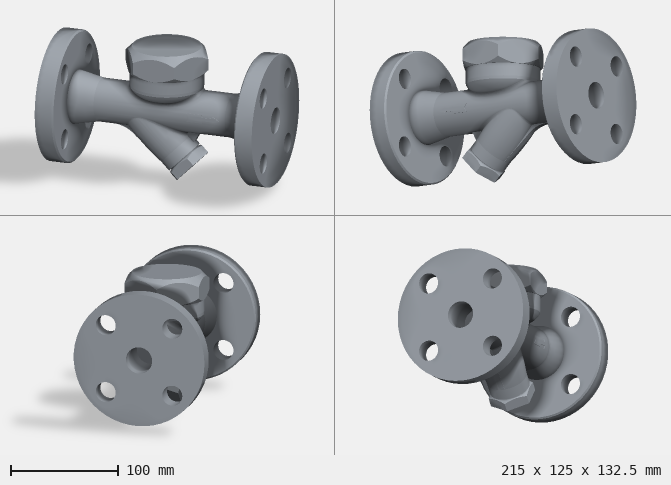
import cadquery as cq
import math

length = 215.0
flange_dia = 125.0
flange_thickness = 18.0
flange_edge = 1.5
bolt_circle_dia = 90.0
bolt_hole_dia = 19.0
bolt_count = 4
pipe_dia = 41.0
hub_dia = 51.0
hub_length = 24.5
bore_dia = 25.0
bore_depth = flange_thickness + hub_length

pipe_radius = pipe_dia / 2
half_length = length / 2
flange_back = half_length - flange_thickness
hub_end = flange_back - hub_length

cover_flats = 71.0
cover_top = 60.8
cover_bottom = 36.0
cover_top_radius = 32.5
cover_bottom_radius = 35.5
bonnet_dia = 69.5
bonnet_lower_dia = 69.0
bonnet_step = 24.1
bonnet_lip = 21.3
bowl_base_radius = 16.0
bowl_base = 11.0
bowl_bulge = 3.0
bonnet_blend = 3.0

leg_start_x = -29.05
leg_angle = 45.0
leg_dia = 38.0
leg_collar_start = 54.7
leg_end = 65.6
leg_root_dia = 36.6
leg_barrel_dia = 41.0
leg_barrel_height = 29.0
leg_blend = 2.5
plug_flats = 38.0
plug_start = 66.5
plug_end = 77.0
plug_face_radius = 18.0
plug_chamfer_angle = 30.0
plug_neck_radius = 17.0

gusset_thickness = 6.0
gusset_swell = 3.0
gusset_swell_start = 21.0
gusset_root_x = -54.0
web_root_x = 33.0
web_tip = 61.0
web_tip_offset = 20.7

arrow_tail_x = 27.1
arrow_notch_x = 29.3
arrow_step_x = 42.1
arrow_head_x = 51.8
arrow_tip_x = 59.2
arrow_half_width = 4.1
arrow_shaft_half_width = 1.7
arrow_height = 0.5


def across_corners(flats):
    """Corner-to-corner size of a hexagon."""
    return flats / math.cos(math.pi / 6)


def leg_point(along, offset):
    """XZ point at a distance along the leg axis and an offset towards +X, +Z."""
    cos_a = math.cos(math.radians(leg_angle))
    sin_a = math.sin(math.radians(leg_angle))
    return (leg_start_x + along * cos_a + offset * sin_a, -along * sin_a + offset * cos_a)


def revolve_about_z(points):
    """Solid of revolution about Z from (radius, height) points."""
    return cq.Workplane("XZ").polyline(points).close().revolve(360, (0, 0, 0), (0, 1, 0))


def place_on_leg(shape):
    """Turn a shape built along +Z so that it lies along the leg axis."""
    tilt = 90 + leg_angle
    return shape.rotate((0, 0, 0), (0, 1, 0), tilt).translate((leg_start_x, 0, 0))


def make_pipe():
    return cq.Workplane("YZ").circle(pipe_radius).extrude(half_length, both=True)


def make_flange_end():
    """Flange with its tapered hub, on the +X end."""
    flange_radius = flange_dia / 2
    profile = [
        (hub_end, 0),
        (hub_end, pipe_radius),
        (flange_back, hub_dia / 2),
        (flange_back, flange_radius - flange_edge),
        (flange_back + flange_edge, flange_radius),
        (half_length, flange_radius),
        (half_length, 0),
    ]
    return cq.Workplane("XY").polyline(profile).close().revolve(360, (0, 0, 0), (1, 0, 0))


def make_end_cuts():
    """Bolt holes and blind bore of the +X end."""
    holes = (
        cq.Workplane("YZ", origin=(flange_back, 0, 0))
        .polarArray(bolt_circle_dia / 2, 180 / bolt_count, 360, bolt_count)
        .circle(bolt_hole_dia / 2)
        .extrude(flange_thickness)
    )
    bore = (
        cq.Workplane("YZ", origin=(half_length - bore_depth, 0, 0))
        .circle(bore_dia / 2)
        .extrude(bore_depth)
    )
    return holes.union(bore)


def make_bonnet():
    """Round bonnet whose underside narrows like a bowl into the pipe."""
    return (
        cq.Workplane("XZ")
        .moveTo(0, bowl_base)
        .lineTo(bowl_base_radius, bowl_base)
        .sagittaArc((bonnet_lower_dia / 2, bonnet_lip), -bowl_bulge)
        .lineTo(bonnet_dia / 2, bonnet_step)
        .lineTo(bonnet_dia / 2, cover_bottom)
        .lineTo(0, cover_bottom)
        .close()
        .revolve(360, (0, 0, 0), (0, 1, 0))
    )


def make_cover():
    """Hexagonal cover, its corners turned off at 45 degrees above and below."""
    corner_radius = across_corners(cover_flats) / 2
    hexagon = (
        cq.Workplane("XY", origin=(0, 0, cover_bottom))
        .polygon(6, 2 * corner_radius)
        .extrude(cover_top - cover_bottom)
    )
    envelope = revolve_about_z([
        (0, cover_bottom),
        (cover_bottom_radius, cover_bottom),
        (corner_radius, cover_bottom + corner_radius - cover_bottom_radius),
        (corner_radius, cover_top - corner_radius + cover_top_radius),
        (cover_top_radius, cover_top),
        (0, cover_top),
    ])
    return hexagon.intersect(envelope)


def make_leg():
    """Round leg: a gently barrelled root followed by a straight collar."""
    collar_radius = leg_dia / 2
    profile = (
        cq.Workplane("XZ")
        .lineTo(leg_root_dia / 2, 0)
        .threePointArc((leg_barrel_dia / 2, leg_barrel_height), (collar_radius, leg_collar_start))
        .lineTo(collar_radius, leg_end)
        .lineTo(0, leg_end)
        .close()
    )
    return place_on_leg(profile.revolve(360, (0, 0, 0), (0, 1, 0)))


def make_plug():
    """Hexagonal plug on a short neck, chamfered on the side facing the leg."""
    corner_radius = across_corners(plug_flats) / 2
    chamfer_depth = (corner_radius - plug_face_radius) * math.tan(math.radians(plug_chamfer_angle))
    hexagon = (
        cq.Workplane("XY", origin=(0, 0, plug_start))
        .polygon(6, 2 * corner_radius)
        .extrude(plug_end - plug_start)
    )
    envelope = revolve_about_z([
        (0, plug_start),
        (plug_face_radius, plug_start),
        (corner_radius, plug_start + chamfer_depth),
        (corner_radius, plug_end),
        (0, plug_end),
    ])
    neck = (
        cq.Workplane("XY", origin=(0, 0, leg_end))
        .circle(plug_neck_radius)
        .extrude(plug_start - leg_end)
    )
    return place_on_leg(hexagon.intersect(envelope).union(neck))


def make_gussets():
    """Curved gusset below the leg and straight web in the acute corner."""
    leg_radius = leg_dia / 2
    swell_point = leg_point(gusset_swell_start, -leg_radius - gusset_swell)
    end_point = leg_point(leg_collar_start, -leg_radius)
    gusset = (
        cq.Workplane("XZ")
        .moveTo(leg_start_x, 0)
        .lineTo(gusset_root_x, 0)
        .lineTo(gusset_root_x, -pipe_radius)
        .spline([swell_point], tangents=[(1, 0), (1, -1)], includeCurrent=True)
        .lineTo(*end_point)
        .lineTo(*leg_point(leg_collar_start, 0))
        .close()
        .extrude(gusset_thickness / 2, both=True)
    )
    web = (
        cq.Workplane("XZ")
        .polyline([
            (0, 0),
            (web_root_x, 0),
            (web_root_x, -pipe_radius),
            leg_point(web_tip, web_tip_offset),
            leg_point(web_tip, 0),
        ])
        .close()
        .extrude(gusset_thickness / 2, both=True)
    )
    return gusset.union(web)


def make_arrows():
    """Flow arrows pointing towards +X, standing proud of the pipe wall."""
    upper_half = [
        (arrow_tail_x, arrow_half_width),
        (arrow_step_x, arrow_half_width),
        (arrow_step_x, arrow_shaft_half_width),
        (arrow_head_x, arrow_shaft_half_width),
        (arrow_head_x, arrow_half_width),
    ]
    lower_half = [(x, -z) for x, z in reversed(upper_half)]
    outline = upper_half + [(arrow_tip_x, 0)] + lower_half + [(arrow_notch_x, 0)]
    outer_radius = pipe_radius + arrow_height
    prism = cq.Workplane("XZ").polyline(outline).close().extrude(outer_radius, both=True)
    sleeve = cq.Workplane("YZ").circle(outer_radius).extrude(half_length)
    return prism.intersect(sleeve)


def blend_seam(pipe, branch, radius):
    """Join a branch to the pipe and round the curved seam between them."""
    return pipe.union(branch).edges("%BSPLINE").fillet(radius)


pipe_with_bonnet = blend_seam(make_pipe(), make_bonnet(), bonnet_blend)
pipe_with_leg = blend_seam(make_pipe(), make_leg(), leg_blend)
flange_end = make_flange_end()
end_cuts = make_end_cuts()

result = (
    pipe_with_bonnet
    .union(pipe_with_leg)
    .union(make_gussets())
    .union(make_plug())
    .union(make_cover())
    .union(make_arrows())
    .union(flange_end)
    .union(flange_end.mirror("YZ"))
    .cut(end_cuts)
    .cut(end_cuts.mirror("YZ"))
)